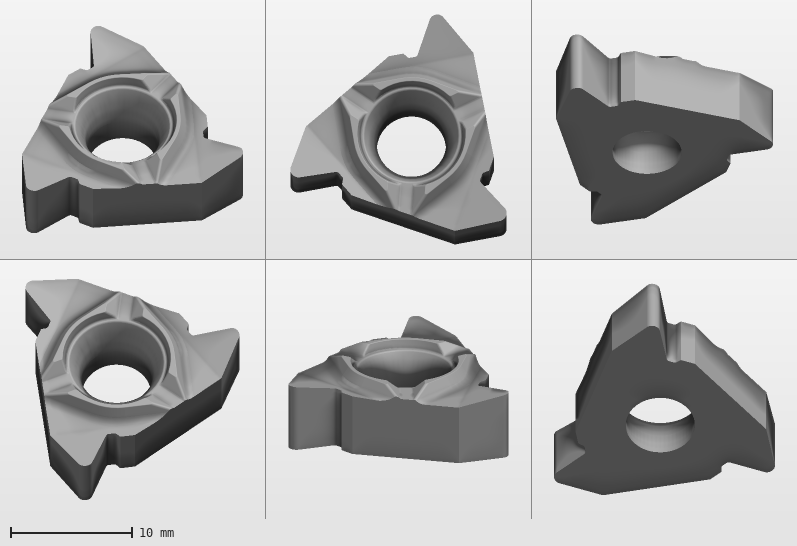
import cadquery as cq
import math

TEETH = 3
PITCH_ANGLE = 360 / TEETH

total_height = 6.05
floor_height = 4.96
ledge_height = 5.3

side_distance = 6.35
relief_distance = 7.0
groove_distance = 6.56
groove_end_x = -1.0
relief_start_x = -0.65
groove_radius = 0.25

leading_flank_distance = 8.5
trailing_flank_distance = 1.8
tip_distance = 9.62
tip_radius = 0.63
rake_start = 5.89
rake_angle = 10
rake_bend_half_width = 0.082

island_radius = 4.78
island_draft = 35
island_trail_angle = -1.5
island_lead_angle = 30
island_foot_radius = 0.8
rim_round = 0.07
counterbore_end_round = 0.22

channel_angle = 75
channel_offset = 0.07
channel_floor_half_width = 0.5
channel_top_half_width = 1.54
channel_corner_radius = 0.27
channel_edge_radius = 0.24

bore_radius = 5.7 / 2
bowl_radius = 4.9
bowl_rim_radius = 3.86
ledge_inner_radius = 4.04
counterbore_floor_radius = 4.19
counterbore_top_radius = 4.45
counterbore_corner_radius = 0.18

stock_radius = 14.5
channel_headroom = 0.9
min_climb = 0.18
TOLERANCE = 0.002


def unit(angle):
    """Unit vector at an angle in degrees."""
    return math.cos(math.radians(angle)), math.sin(math.radians(angle))


def turn(point, angle):
    """Point rotated about the bore axis."""
    c, s = unit(angle)
    return point[0] * c - point[1] * s, point[0] * s + point[1] * c


def line_crossing(angle_a, distance_a, angle_b, distance_b):
    """Crossing of two lines, each given by its normal direction and distance from the axis."""
    ax, ay = unit(angle_a)
    bx, by = unit(angle_b)
    det = ax * by - ay * bx
    return (distance_a * by - distance_b * ay) / det, (ax * distance_b - bx * distance_a) / det


def rounded_polygon(plane, corners):
    """Closed wire through (point, radius) corners; radius 0 leaves a sharp corner."""
    wire = None
    for i, (point, radius) in enumerate(corners):
        corner = cq.Vector(*point)
        before = (cq.Vector(*corners[i - 1][0]) - corner).normalized()
        after = (cq.Vector(*corners[(i + 1) % len(corners)][0]) - corner).normalized()
        half_angle = before.getAngle(after) / 2
        setback = radius / math.tan(half_angle)
        start = corner + before * setback
        wire = plane.moveTo(start.x, start.y) if wire is None else wire.lineTo(start.x, start.y)
        if radius:
            bisector = (before + after).normalized()
            middle = corner + bisector * (radius / math.sin(half_angle) - radius)
            end = corner + after * setback
            wire = wire.threePointArc((middle.x, middle.y), (end.x, end.y))
    return wire.close()


def repeat(shape):
    """Union of the shape copied around the bore axis."""
    copies = shape
    for i in range(1, TEETH):
        copies = copies.union(shape.rotate((0, 0, 0), (0, 0, 1), i * PITCH_ANGLE))
    return copies


def outline_prism():
    """Full-height prism of the plan outline: three teeth with root grooves and relieved sides."""
    sector = [
        (line_crossing(180, side_distance, 210, leading_flank_distance), 0),
        (line_crossing(210, leading_flank_distance, 270, tip_distance), tip_radius),
        (line_crossing(270, tip_distance, 330, trailing_flank_distance), tip_radius),
        (line_crossing(330, trailing_flank_distance, 270, groove_distance), groove_radius),
        ((groove_end_x, -groove_distance), groove_radius),
        ((relief_start_x, -relief_distance), 0),
        (line_crossing(270, relief_distance, 300, side_distance), 0),
    ]
    corners = [(turn(p, i * PITCH_ANGLE), r) for i in range(TEETH) for p, r in sector]
    return rounded_polygon(cq.Workplane(), corners).extrude(total_height)


def channel():
    """Radial trough with sloping walls and rounded floor corners."""
    slope = (total_height - ledge_height) / (channel_top_half_width - channel_floor_half_width)
    half_width = channel_top_half_width + channel_headroom / slope
    top = total_height + channel_headroom
    corners = [
        ((channel_offset - half_width, top), 0),
        ((channel_offset - channel_floor_half_width, ledge_height), channel_corner_radius),
        ((channel_offset + channel_floor_half_width, ledge_height), channel_corner_radius),
        ((channel_offset + half_width, top), 0),
    ]
    trough = rounded_polygon(cq.Workplane("XZ"), corners).extrude(-stock_radius)
    return trough.rotate((0, 0, 0), (0, 0, 1), channel_angle - 90)


def island_stock():
    """Disc carrying the drafted island, blended into the chip floor at its foot."""
    rise = total_height - floor_height
    foot_radius = island_radius + rise * math.tan(math.radians(island_draft))
    middle_angle = (island_trail_angle + island_lead_angle) / 2

    def on_foot(angle):
        c, s = unit(angle)
        return foot_radius * c, foot_radius * s

    foot = cq.Workplane(origin=(0, 0, floor_height)).moveTo(*on_foot(island_trail_angle))
    for i in range(TEETH):
        spin = i * PITCH_ANGLE
        lead_angle = island_lead_angle + spin
        next_trail_angle = island_trail_angle + spin + PITCH_ANGLE
        corner = line_crossing(lead_angle, foot_radius, next_trail_angle, foot_radius)
        foot = (
            foot.threePointArc(on_foot(middle_angle + spin), on_foot(lead_angle))
            .lineTo(*corner)
            .lineTo(*on_foot(next_trail_angle))
        )
    island = foot.close().extrude(rise, taper=island_draft)
    stock = cq.Workplane().circle(stock_radius).extrude(floor_height).union(island)

    def is_foot_edge(edge):
        box = edge.BoundingBox()
        at_floor = max(abs(box.zmin - floor_height), abs(box.zmax - floor_height)) < TOLERANCE
        return at_floor and box.xmax < stock_radius - TOLERANCE

    return stock.edges().filter(is_foot_edge).fillet(island_foot_radius)


def rake_wedge():
    """Sloping top of one tooth, tangent to the chip floor."""
    c, s = unit(rake_angle)
    end_height = floor_height + (stock_radius - rake_start) * s / c
    bend_c, bend_s = unit(rake_angle / 2)
    bend_radius = rake_bend_half_width / math.tan(math.radians(rake_angle / 2))
    bend_start = rake_start - rake_bend_half_width
    return (
        cq.Workplane("YZ")
        .moveTo(-bend_start, floor_height)
        .threePointArc(
            (-bend_start - bend_radius * bend_s, floor_height + bend_radius * (1 - bend_c)),
            (-rake_start - rake_bend_half_width * c, floor_height + rake_bend_half_width * s),
        )
        .lineTo(-stock_radius, end_height)
        .lineTo(-stock_radius, 0)
        .lineTo(-bend_start, 0)
        .close()
        .extrude(stock_radius, both=True)
    )


def bore():
    """Hole, convex bowl, ledge and flared counterbore as one turned tool."""
    sweep = math.acos(1 - (bowl_rim_radius - bore_radius) / bowl_radius)
    lip_radius = (ledge_inner_radius - bowl_rim_radius) / math.cos(sweep)
    lip_drop = lip_radius * (1 - math.sin(sweep))
    rim_height = ledge_height - lip_drop
    throat_height = rim_height - bowl_radius * math.sin(sweep)
    wall_angle = math.atan2(total_height - ledge_height, counterbore_top_radius - counterbore_floor_radius)
    setback = counterbore_corner_radius * math.tan(wall_angle / 2)
    lip_middle = (sweep + math.pi / 2) / 2
    return (
        cq.Workplane("XZ")
        .lineTo(bore_radius, 0)
        .lineTo(bore_radius, throat_height)
        .threePointArc(
            (bore_radius + bowl_radius * (1 - math.cos(sweep / 2)),
             throat_height + bowl_radius * math.sin(sweep / 2)),
            (bowl_rim_radius, rim_height),
        )
        .threePointArc(
            (ledge_inner_radius - lip_radius * math.cos(lip_middle),
             ledge_height - lip_radius * (1 - math.sin(lip_middle))),
            (ledge_inner_radius, ledge_height),
        )
        .lineTo(counterbore_floor_radius - setback, ledge_height)
        .threePointArc(
            (counterbore_floor_radius - setback + counterbore_corner_radius * math.sin(wall_angle / 2),
             ledge_height + counterbore_corner_radius * (1 - math.cos(wall_angle / 2))),
            (counterbore_floor_radius + setback * math.cos(wall_angle),
             ledge_height + setback * math.sin(wall_angle)),
        )
        .lineTo(counterbore_top_radius, total_height)
        .lineTo(0, total_height)
        .close()
        .revolve(360, (0, 0), (0, 1))
    )


def slopes_to_top(edge):
    """True for an edge that climbs to the island's top from well below it."""
    box = edge.BoundingBox()
    return abs(box.zmax - total_height) < TOLERANCE and box.zmin < total_height - min_climb


def top_end_radius(edge):
    """Distance from the bore axis to the upper end of an edge."""
    top = max((edge.startPoint(), edge.endPoint()), key=lambda p: p.z)
    return math.hypot(top.x, top.y)


def is_arm_end(edge):
    """Edge between a channel wall and the island's outer wall."""
    return slopes_to_top(edge) and top_end_radius(edge) > island_radius + TOLERANCE


def is_counterbore_end(edge):
    """Edge between a channel wall and the counterbore wall."""
    return slopes_to_top(edge) and top_end_radius(edge) < counterbore_top_radius + TOLERANCE


def is_top_rim(edge):
    """Edge lying in the island's flat top."""
    return edge.BoundingBox().zmin > total_height - TOLERANCE


stock = island_stock().cut(repeat(channel()))
stock = stock.edges().filter(is_arm_end).fillet(channel_edge_radius)
stock = stock.cut(bore())
stock = stock.edges().filter(is_counterbore_end).fillet(counterbore_end_round)
stock = stock.edges().filter(is_top_rim).fillet(rim_round)
blank = stock.union(repeat(rake_wedge()))
result = blank.intersect(outline_prism())